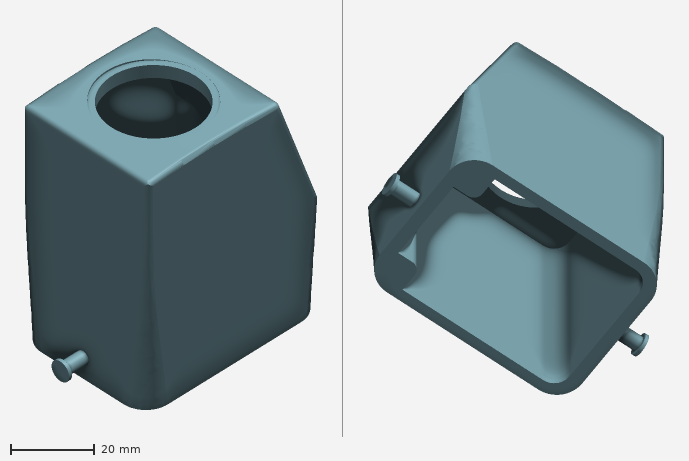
import cadquery as cq

width = 43.0
height = 72.0
base_half_depth = 30.0
top_half_depth = 29.2
big = 150.0

roof_edge_height = 71.1
roof_peak_y = -6.0
slope_foot_y = 29.4
slope_foot_z = 33.0
slope_top_y = 15.45
edge_round = 1.4
crease_round = 6.0

block_height = 75.0

corner_radii = [(0.0, 7.5), (18.75, 4.95), (37.5, 2.7), (56.25, 1.95), (block_height, 1.6)]

bore_diameter = 28.3
seat_diameter = 31.95
seat_height = 71.5
bore_overlap = 0.75

wall = 2.8
slope_wall = 3.8
ceiling_height = 67.5
cavity_corner_radius = 4.5
post_width = 7.5
post_front_y = 19.9
post_round = 2.6

pin_height = 6.4
pin_diameter = 4.0
pin_head_diameter = 6.0
pin_head_thickness = 1.0
pin_end_y = 37.5


def slope_y(z):
    """Y of the outer rear slope at height z."""
    rise = roof_edge_height - slope_foot_z
    return slope_foot_y + (slope_top_y - slope_foot_y) * (z - slope_foot_z) / rise


def tapered_block():
    """Drafted block whose vertical corners tighten toward the top."""
    sections = []
    for z, radius in corner_radii:
        half_depth = base_half_depth + (top_half_depth - base_half_depth) * z / block_height
        section = cq.Sketch().rect(width, 2 * half_depth).vertices().fillet(radius)
        sections.append(section.moved(cq.Location(cq.Vector(0, 0, z))))
    return cq.Workplane("XY").placeSketch(*sections).loft()


def rounded_profile():
    """Side outline with the arched roof and rear slope, rounded along its upper borders."""
    profile = (
        cq.Workplane("YZ")
        .moveTo(-top_half_depth, roof_edge_height)
        .threePointArc((roof_peak_y, height), (slope_top_y, roof_edge_height))
        .lineTo(slope_foot_y, slope_foot_z)
        .lineTo(base_half_depth, 0)
        .lineTo(-base_half_depth, 0)
        .close()
        .extrude(width / 2, both=True)
    )
    crease = cq.selectors.NearestToPointSelector((0, slope_foot_y, slope_foot_z))
    profile = profile.edges(crease).fillet(crease_round)
    slope_middle = (0, (slope_foot_y + slope_top_y) / 2, (slope_foot_z + roof_edge_height) / 2)
    slope_face = cq.selectors.NearestToPointSelector(slope_middle)
    roof_face = cq.selectors.NearestToPointSelector((0, roof_peak_y, height))
    above_crease = cq.selectors.BoxSelector((-big, -big, slope_foot_z + crease_round), (big, big, big))
    return profile.faces(roof_face + slope_face).edges(above_crease).fillet(edge_round)


def cavity():
    """Inner room with a sloped rear wall and two rear posts left standing."""
    inner_width = width - 2 * wall
    front_y = -(top_half_depth - wall)
    rear_y = slope_foot_y - wall
    slope_run = (slope_foot_y - slope_top_y) / (roof_edge_height - slope_foot_z)
    bend_z = slope_foot_z + (wall - slope_wall) / slope_run
    room = (
        cq.Workplane("YZ")
        .polyline([
            (front_y, 0),
            (rear_y, 0),
            (rear_y, bend_z),
            (slope_y(ceiling_height) - slope_wall, ceiling_height),
            (front_y, ceiling_height),
        ])
        .close()
        .extrude(inner_width / 2, both=True)
        .edges("|Z and <Y")
        .fillet(cavity_corner_radius)
    )
    post_length = base_half_depth - post_front_y
    for side in (-1, 1):
        post = (
            cq.Workplane("XY")
            .center(side * (inner_width - post_width) / 2, post_front_y + post_length / 2)
            .rect(post_width, post_length)
            .extrude(height)
            .edges("|Z and <Y")
            .edges("<X" if side > 0 else ">X")
            .fillet(post_round)
        )
        room = room.cut(post)
    return room


def pin(side):
    """Headed pin on the front (-1) or rear (1) wall."""
    root_y = base_half_depth - wall
    profile = (
        cq.Workplane("XY")
        .moveTo(0, root_y)
        .lineTo(pin_diameter / 2, root_y)
        .lineTo(pin_diameter / 2, pin_end_y - pin_head_thickness)
        .lineTo(pin_head_diameter / 2, pin_end_y - pin_head_thickness)
        .lineTo(pin_head_diameter / 2, pin_end_y)
        .lineTo(0, pin_end_y)
        .close()
    )
    solid = profile.revolve(360, (0, 0, 0), (0, 1, 0)).translate((0, 0, pin_height))
    return solid if side > 0 else solid.mirror("XZ")


def roof_cutter(diameter, floor_height):
    """Vertical cylinder through the roof, starting at floor_height."""
    return cq.Workplane("XY", origin=(0, roof_peak_y, floor_height)).circle(diameter / 2).extrude(big)


hood = tapered_block().intersect(rounded_profile())
seat = roof_cutter(seat_diameter, seat_height)
bore = roof_cutter(bore_diameter, ceiling_height - bore_overlap)
hood = hood.cut(cavity()).cut(seat).cut(bore)
result = hood.union(pin(-1)).union(pin(1))